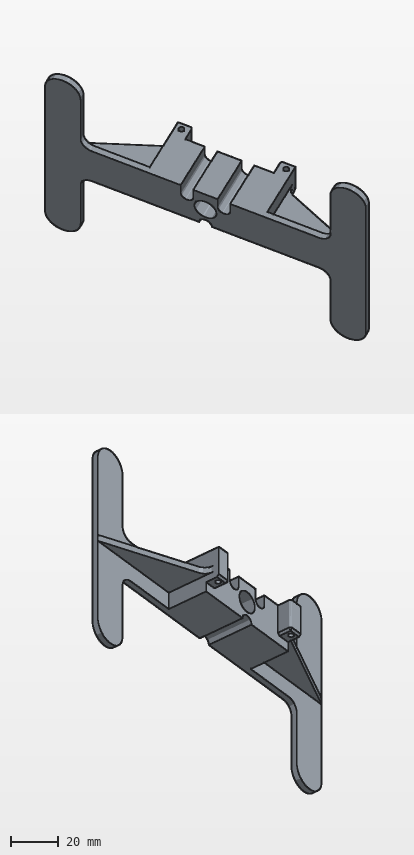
import cadquery as cq
import math

length = 150.0
height = 100.0
plate_thickness = 3.0
leg_width = 16.6
bar_height = 20.1
leg_fillet = 5.4

block_length = 54.9
block_depth = 23.1
tab_width = 6.8
tab_height = 15.3
tab_end = 30.0
tab_corner_radius = 1.0
tab_bottom_chamfer = 1.0
pin_hole_diameter = 2.5
pin_inset = 3.0
pin_setback = 2.8

web_thickness = 3.2
web_fillet = 5.4

bore_diameter = 10.4
slot_width = 5.8
slot_spacing = 17.2
slot_bottom = 2.0
notch_diameter = 6.0

bar_top = bar_height / 2
block_side = block_length / 2
tab_bottom = bar_top - tab_height


def box_between(x0, x1, y0, y1, z0, z1):
    return cq.Workplane("XY").box(x1 - x0, y1 - y0, z1 - z0, centered=False).translate((x0, y0, z0))


def cylinder_along_y(diameter, x, z):
    """Cutter spanning the full depth of the part."""
    circle = cq.Workplane("XZ").center(x, z).circle(diameter / 2)
    return circle.extrude(-tab_end)


def make_plate():
    leg_x = (length - leg_width) / 2
    plate = cq.Workplane("XZ").rect(2 * leg_x, bar_height).extrude(-plate_thickness)
    legs = (
        cq.Workplane("XZ")
        .pushPoints([(-leg_x, 0), (leg_x, 0)])
        .slot2D(height, leg_width, 90)
        .extrude(-plate_thickness)
    )
    inner_x = length / 2 - leg_width
    corners = cq.selectors.BoxSelector(
        (-inner_x - 0.2, -1.5, -bar_top - 0.2),
        (inner_x + 0.2, plate_thickness + 1.5, bar_top + 0.2),
    )
    return plate.union(legs).edges("|Y").edges(corners).fillet(leg_fillet)


def make_block():
    return box_between(-block_side, block_side, 0, block_depth, -bar_top, bar_top)


def make_left_tab():
    inner_x = -block_side + tab_width
    tab = box_between(-block_side, inner_x, plate_thickness, tab_end, tab_bottom, bar_top)
    tab = tab.edges("|Z and >X and >Y").fillet(tab_corner_radius)
    return tab.edges("|X and <Z and >Y").chamfer(tab_bottom_chamfer)


def make_left_web():
    """Sloping web whose rear edge curves up into the side of the tab."""
    slope = math.atan2(block_depth - plate_thickness, length / 2 - block_side)
    tangent = web_fillet * math.tan(math.pi / 4 - slope / 2)
    slope_end = (-block_side - tangent * math.cos(slope), block_depth - tangent * math.sin(slope))
    return (
        cq.Workplane("XY")
        .moveTo(-length / 2, plate_thickness)
        .lineTo(*slope_end)
        .tangentArcPoint((-block_side, block_depth + tangent), relative=False)
        .lineTo(-block_side, plate_thickness)
        .close()
        .extrude(web_thickness / 2, both=True)
    )


def make_slot(x):
    arc_z = slot_bottom + slot_width / 2
    channel = box_between(x - slot_width / 2, x + slot_width / 2, 0, tab_end, arc_z, bar_top)
    return channel.union(cylinder_along_y(slot_width, x, arc_z))


def make_left_pin_hole():
    hole = cq.Workplane("XY", origin=(-block_side + pin_inset, tab_end - pin_setback, tab_bottom))
    return hole.circle(pin_hole_diameter / 2).extrude(tab_height)


left_side = make_left_tab().cut(make_left_pin_hole()).union(make_left_web())

result = make_plate().union(make_block()).union(left_side).union(left_side.mirror("YZ"))
result = result.cut(cylinder_along_y(bore_diameter, 0, 0))
result = result.cut(cylinder_along_y(notch_diameter, 0, -bar_top))
for side in (-1, 1):
    result = result.cut(make_slot(side * slot_spacing / 2))